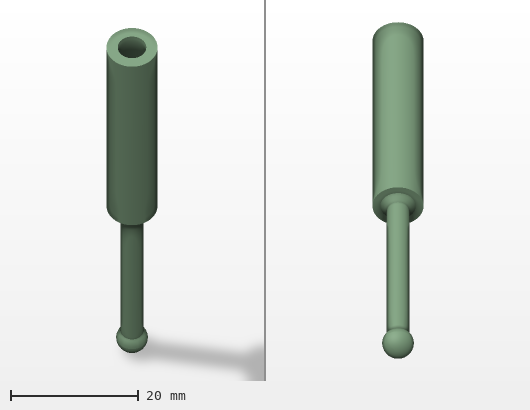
import cadquery as cq

total_length = 72.0
body_diameter = 8.0
body_length = 38.0
bore_diameter = 4.5
bore_depth = 14.4
stem_diameter = 3.5
ball_diameter = 5.0
ball_upper_height = 1.5
collar_height = 1.0

body_radius = body_diameter / 2
bore_radius = bore_diameter / 2
stem_radius = stem_diameter / 2
ball_radius = ball_diameter / 2
collar_top_radius = stem_radius + collar_height

body_bottom = total_length - body_length
collar_bottom = body_bottom - collar_height
bore_floor = total_length - bore_depth
ball_top = ball_radius + ball_upper_height
overhang = ball_radius - stem_radius
upper_arc_radius = (overhang**2 + ball_upper_height**2) / (2 * overhang)

profile = (
    cq.Workplane("XZ")
    .moveTo(0, 0)
    .radiusArc((ball_radius, ball_radius), -ball_radius)
    .radiusArc((stem_radius, ball_top), -upper_arc_radius)
    .lineTo(stem_radius, collar_bottom)
    .lineTo(collar_top_radius, body_bottom)
    .lineTo(body_radius, body_bottom)
    .lineTo(body_radius, total_length)
    .lineTo(bore_radius, total_length)
    .lineTo(bore_radius, bore_floor)
    .lineTo(0, bore_floor)
    .close()
)

result = profile.revolve(360, (0, 0), (0, 1))